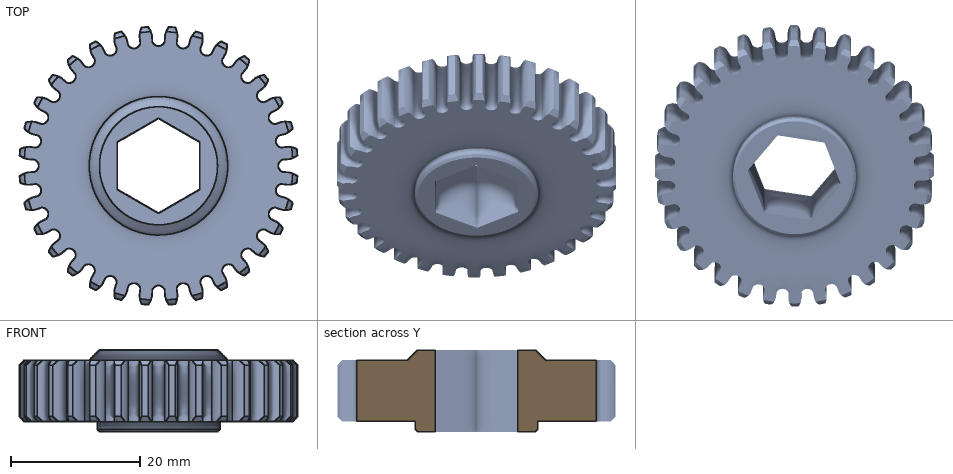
import cadquery as cq
import math

TOOTH_COUNT = 32
INCH = 25.4
DIAMETRAL_PITCH = 20
MODULE = INCH / DIAMETRAL_PITCH
PITCH_RADIUS = MODULE * TOOTH_COUNT / 2
TIP_RADIUS = PITCH_RADIUS + MODULE
RIM_WIDTH = 9.525
TIP_CHAMFER = 0.79

ROOT_RADIUS = 18.56
ROUND_END_RADIUS = 19.2
ROUND_END_WIDTH = 1.86
WALL_END_RADIUS = 20.2
WALL_END_WIDTH = 2.0
TIP_LAND_WIDTH = 1.02
FLANK_BOW = 0.08

BOSS_HEIGHT = 1.5875
TOP_BOSS_DIAMETER = 18.29
BOTTOM_BOSS_DIAMETER = 19.05
BOTTOM_BOSS_CHAMFER = 0.381
HEX_ACROSS_FLATS = 12.7

TOTAL_HEIGHT = RIM_WIDTH + 2 * BOSS_HEIGHT
PITCH_ANGLE = 360 / TOOTH_COUNT


def make_rim_blank():
    """Disc from Z = 0 upward with both outer edges chamfered."""
    return cq.Workplane("XY").circle(TIP_RADIUS).extrude(RIM_WIDTH).edges().chamfer(TIP_CHAMFER)


def make_gap_cutter():
    """Prism filling the gap between two teeth, centred on the +Y axis."""
    half_pitch = math.radians(PITCH_ANGLE / 2)
    half_land = math.asin(TIP_LAND_WIDTH / 2 / TIP_RADIUS)
    tip_x = TIP_RADIUS * math.sin(half_pitch - half_land)
    tip_y = TIP_RADIUS * math.cos(half_pitch - half_land)
    wall_x = WALL_END_WIDTH / 2
    round_x = ROUND_END_WIDTH / 2
    outside_y = TIP_RADIUS + MODULE

    chord_x = tip_x - wall_x
    chord_y = tip_y - WALL_END_RADIUS
    chord = math.hypot(chord_x, chord_y)
    middle_x = (wall_x + tip_x) / 2 - FLANK_BOW * chord_y / chord
    middle_y = (WALL_END_RADIUS + tip_y) / 2 + FLANK_BOW * chord_x / chord

    return (
        cq.Workplane("XY")
        .moveTo(-tip_x, outside_y)
        .lineTo(-tip_x, tip_y)
        .threePointArc((-middle_x, middle_y), (-wall_x, WALL_END_RADIUS))
        .lineTo(-round_x, ROUND_END_RADIUS)
        .threePointArc((0, ROOT_RADIUS), (round_x, ROUND_END_RADIUS))
        .lineTo(wall_x, WALL_END_RADIUS)
        .threePointArc((middle_x, middle_y), (tip_x, tip_y))
        .lineTo(tip_x, outside_y)
        .close()
        .extrude(RIM_WIDTH)
    )


def cut_teeth(blank):
    """Cut one gap per tooth, evenly spaced around Z."""
    cutter = make_gap_cutter()
    gaps = [cutter.rotate((0, 0, 0), (0, 0, 1), i * PITCH_ANGLE).val() for i in range(TOOTH_COUNT)]
    return blank.cut(cq.Compound.makeCompound(gaps))


def make_top_boss():
    """45 degree cone standing on the upper rim face."""
    small_radius = TOP_BOSS_DIAMETER / 2
    large_radius = small_radius + BOSS_HEIGHT
    cone = cq.Solid.makeCone(large_radius, small_radius, BOSS_HEIGHT, pnt=cq.Vector(0, 0, RIM_WIDTH))
    return cq.Workplane("XY").add(cone)


def make_bottom_boss():
    """Short cylinder below the rim, lightly chamfered at its free end."""
    boss = cq.Workplane("XY").circle(BOTTOM_BOSS_DIAMETER / 2).extrude(-BOSS_HEIGHT)
    return boss.faces("<Z").edges().chamfer(BOTTOM_BOSS_CHAMFER)


def make_hex_bore():
    """Through hexagon with corners on the Y axis."""
    across_corners = HEX_ACROSS_FLATS / math.cos(math.pi / 6)
    bore = cq.Workplane("XY", origin=(0, 0, -BOSS_HEIGHT)).polygon(6, across_corners)
    return bore.extrude(TOTAL_HEIGHT).rotate((0, 0, 0), (0, 0, 1), 90)


gear = cut_teeth(make_rim_blank())
gear = gear.union(make_top_boss()).union(make_bottom_boss())
result = gear.cut(make_hex_bore())